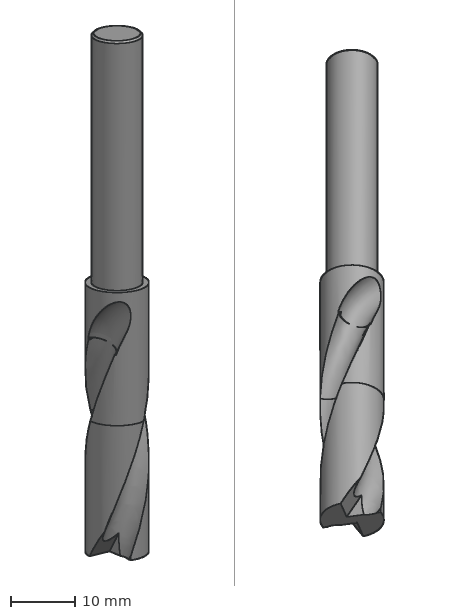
import cadquery as cq
import math

total_length = 85.0
cutter_diameter = 9.95
shank_diameter = 8.0
shoulder_height = 44.1
joint_height = 22.3
shank_chamfer = 0.3

flute_count = 2
flute_pitch = 79.5
flute_radius = 2.8
flute_offset = 4.85
flute_height = 35.6
flute_start_angle = 276.5
runout_bend_radius = 9.8
runout_sweep_angle = 80
runout_side_turn = 65
runout_overlap = 0.85

gash_direction = 55
gash_lean = 33
gash_past_axis = 0.6
gash_outer_end = 6.8
gash_inner_end = 1.0
gash_width = 6.8

cutter_radius = cutter_diameter / 2
flute_twist = 360 * flute_height / flute_pitch
helix_angle = math.degrees(math.atan(2 * math.pi * flute_offset / flute_pitch))


def make_channel():
    """Straight-ended helical channel, starting on the +X side at the tip."""
    return (
        cq.Workplane("XY")
        .moveTo(flute_offset, 0)
        .circle(flute_radius)
        .twistExtrude(flute_height, flute_twist)
    )


def make_runout():
    """Bent round channel that carries on along the helix and curves out through the side."""
    bend = (
        cq.Workplane("XY")
        .circle(flute_radius)
        .revolve(runout_sweep_angle, (runout_bend_radius, -0.85, 0), (runout_bend_radius, 0.85, 0))
    )
    lead_in = cq.Workplane("XY").circle(flute_radius).extrude(-runout_overlap)
    return (
        bend.union(lead_in)
        .rotate((0, 0, 0), (0, 0, 1), runout_side_turn)
        .rotate((0, 0, 0), (1, 0, 0), -helix_angle)
        .translate((flute_offset, 0, flute_height))
        .rotate((0, 0, 0), (0, 0, 1), flute_twist)
    )


def make_gash():
    """Wedge along the heel of the flute on the -Y side, deepest at the tip."""
    wedge_height = gash_width / math.tan(math.radians(gash_lean))
    return (
        cq.Workplane("YZ", origin=(-gash_outer_end, 0, 0))
        .moveTo(gash_past_axis, 0)
        .lineTo(gash_past_axis - gash_width, 0)
        .lineTo(gash_past_axis - gash_width, wedge_height)
        .close()
        .extrude(gash_outer_end - gash_inner_end)
        .rotate((0, 0, 0), (0, 0, 1), gash_direction)
    )


def cut_flutes(body):
    """Cut all the flutes and their runouts, equally spaced around the axis."""
    for index in range(flute_count):
        angle = flute_start_angle + 360 * index / flute_count
        for cutter in (make_channel(), make_runout()):
            body = body.cut(cutter.rotate((0, 0, 0), (0, 0, 1), angle))
    return body


def make_shank_body():
    """Plain shank on top of the upper half of the fluted length."""
    shank = (
        cq.Workplane("XY", origin=(0, 0, shoulder_height))
        .circle(shank_diameter / 2)
        .extrude(total_length - shoulder_height)
        .faces(">Z")
        .chamfer(shank_chamfer)
    )
    fluted_length = (
        cq.Workplane("XY", origin=(0, 0, joint_height))
        .circle(cutter_radius)
        .extrude(shoulder_height - joint_height)
    )
    return cut_flutes(fluted_length).union(shank)


def make_cutting_tip():
    """Lower half of the fluted length, with a gash at the end of each flute."""
    tip = cut_flutes(cq.Workplane("XY").circle(cutter_radius).extrude(joint_height))
    for index in range(flute_count):
        tip = tip.cut(make_gash().rotate((0, 0, 0), (0, 0, 1), 360 * index / flute_count))
    return tip


shank_body = make_shank_body()
cutting_tip = make_cutting_tip()
result = cq.Compound.makeCompound([shank_body.val(), cutting_tip.val()])